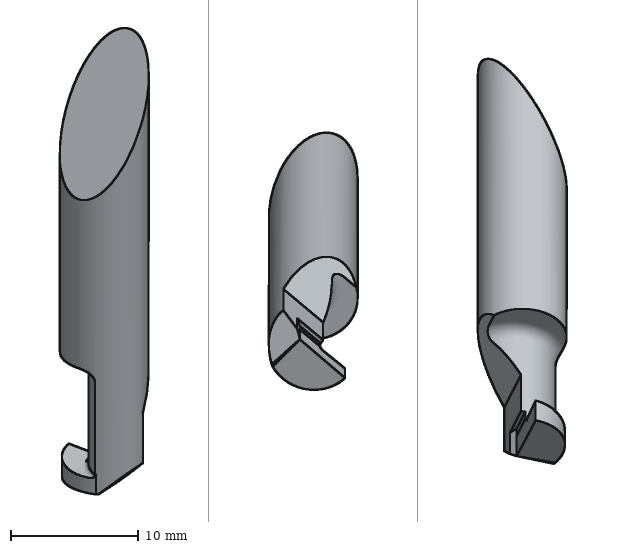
import cadquery as cq
import math

length = 38.3
shank_diameter = 7.0
shank_radius = shank_diameter / 2
slant_slope = math.tan(math.radians(60))

neck_left = -0.75
neck_axis_x = neck_left + shank_radius
neck_top = 11.2
neck_top_fillet = 1.0
neck_bottom_fillet = 0.35

flat_y = 0.35
flat_top = 6.65

tip_x = -3.37
land_width = 0.23
tip_height = 2.03
head_right = 1.4
flank_corner_x = -0.9
flank_corner_y = -3.25
front_mid_x = -2.55
front_mid_y = -2.15
flank_mid_x = 0.25
flank_mid_y = -3.4
side_relief = 0.06
top_relief = 0.06
bottom_side_relief = 0.03
bottom_relief = 0.05
ridge_x = neck_left
head_height = tip_height - side_relief * (ridge_x - tip_x)
rake_top = 2.95
run_out_slope = math.tan(math.radians(30))
heel_chamfer_top = 2.22

reach = 2 * shank_diameter


def prism_along_x(yz_points):
    """Prism with the given Y-Z outline, running past the bar on both sides in X."""
    return cq.Workplane("YZ").polyline(yz_points).close().extrude(reach, both=True)


def circle_y(x):
    """Y on the -Y half of the shank circle."""
    return -math.sqrt(shank_radius**2 - x**2)


def tilted_block(base_point, rise_x, rise_y):
    """Half-space below the plane through base_point that rises by these slopes in X and Y."""
    plane = cq.Plane(origin=base_point, xDir=(1, 0, rise_x), normal=(-rise_x, -rise_y, 1))
    return cq.Workplane(plane).rect(2 * reach, 2 * reach).extrude(-reach)


def below_relief(height_at_rake):
    """Half-space below the head top beside the neck, raised to the given height at Y = 0."""
    return tilted_block((0, 0, height_at_rake), 0, top_relief)


def make_tip_slope():
    """Region below the head top that climbs from the ridge toward the tip."""
    slope = tilted_block((ridge_x, 0, head_height), -side_relief, top_relief)
    tip_side = cq.Workplane("XY").box(reach, reach, reach).translate((ridge_x - reach / 2, 0, 0))
    return slope.intersect(tip_side)


def make_bar():
    bar = cq.Workplane("XY").circle(shank_radius).extrude(length)
    top_slant = prism_along_x([
        (shank_radius, length),
        (-shank_radius, length - shank_diameter * slant_slope),
        (-shank_radius, length),
    ])
    flat_end_z = flat_top + (shank_radius - flat_y) * slant_slope
    side_flat = prism_along_x([
        (flat_y, 0),
        (flat_y, flat_top),
        (shank_radius, flat_end_z),
        (shank_radius, 0),
    ])
    return bar.cut(top_slant).cut(side_flat)


def make_neck_cutter():
    """Ring around the neck with rounded corners, resting on the sloped head top."""
    ring_height = neck_top - head_height / 2
    ring = (
        cq.Workplane("XY", origin=(neck_axis_x, 0, neck_top - ring_height))
        .circle(reach)
        .circle(shank_radius)
        .extrude(ring_height)
        .faces(">Z").edges("%CIRCLE").edges(cq.selectors.RadiusNthSelector(0))
        .fillet(neck_top_fillet)
    )
    ring = ring.cut(below_relief(head_height))
    inner_bottom = cq.selectors.BoxSelector(
        (neck_axis_x - reach / 2, -reach / 2, 0),
        (neck_axis_x + reach / 2, reach / 2, neck_top / 2),
    )
    ring = ring.edges("%ELLIPSE").edges(inner_bottom).fillet(neck_bottom_fillet)
    return ring.cut(make_tip_slope())


def make_head_envelope():
    """Region of the head: tip land, curved front and curved flank up to the shank."""
    return (
        cq.Workplane("XY")
        .moveTo(tip_x, 0)
        .lineTo(tip_x, -land_width)
        .threePointArc((front_mid_x, front_mid_y), (flank_corner_x, flank_corner_y))
        .threePointArc((flank_mid_x, flank_mid_y), (head_right, circle_y(head_right)))
        .lineTo(head_right, flat_y)
        .lineTo(tip_x, flat_y)
        .close()
        .extrude(rake_top)
    )


def make_rake_recess():
    """Relieves the +Y flat down to the rake face, with a slanted run-out."""
    return cq.Workplane("XY").polyline([
        (-shank_radius, 0),
        (head_right, 0),
        (head_right + flat_y / run_out_slope, flat_y),
        (-shank_radius, flat_y),
    ]).close().extrude(rake_top)


def make_bottom_relief():
    return tilted_block((tip_x, 0, 0), bottom_side_relief, -bottom_relief)


def make_heel_chamfer():
    chamfer_left = shank_radius - heel_chamfer_top
    return cq.Workplane("XZ").polyline([
        (chamfer_left, 0),
        (shank_radius, heel_chamfer_top),
        (shank_radius, 0),
    ]).close().extrude(reach, both=True)


tool = (
    make_bar()
    .cut(make_neck_cutter())
    .cut(make_rake_recess())
    .cut(make_bottom_relief())
    .cut(make_heel_chamfer())
)

heel_side = cq.Workplane("XY").box(reach, reach, reach).translate((head_right - reach / 2, 0, 0))
head_zone = below_relief(head_height + neck_bottom_fillet).union(make_tip_slope()).intersect(heel_side)

shank = tool.cut(head_zone)
head = tool.intersect(head_zone).intersect(make_head_envelope())

result = cq.Compound.makeCompound([shank.val(), head.val()])